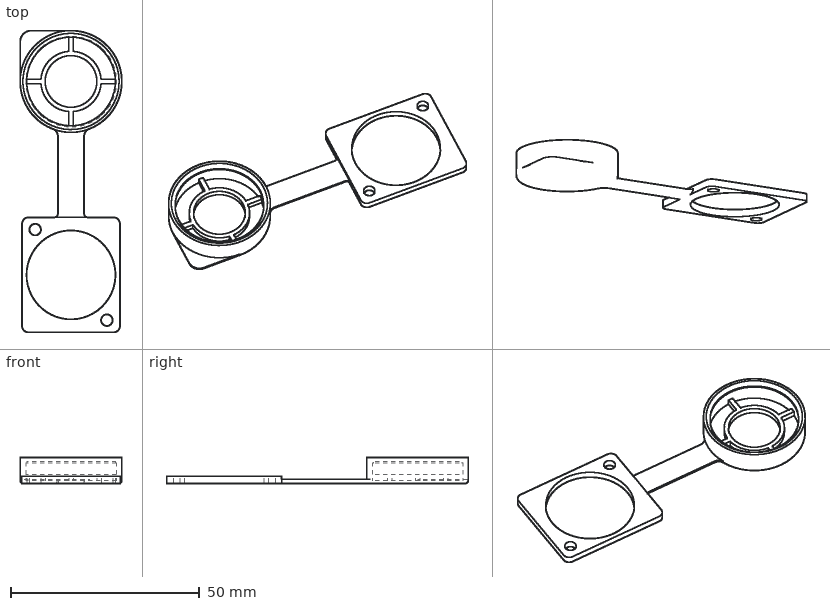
import cadquery as cq

sheet_thickness = 1.2
sheet_edge_radius = 1.0
cap_diameter = 27.0
cap_radius = cap_diameter / 2
tab_corner_radius = 3.0
strap_width = 7.0
strap_cap_fillet = 2.0
strap_frame_fillet = 1.0
strap_foot_width = strap_width + 4 * strap_frame_fillet
strap_foot_length = 2.5

cap_height = 7.0
floor_thickness = 0.9
bore_diameter = 24.0
lip_diameter = 23.5
lip_height = 0.4
mouth_depth = 1.0
mouth_diameter = lip_diameter + 2 * mouth_depth
lip_top = cap_height - mouth_depth
lip_bottom = lip_top - lip_height
rib_top = 2.5
rib_width = 1.3
ring_inner_diameter = 13.7
ring_outer_diameter = 16.0

total_length = 80.0
frame_width = 26.0
frame_length = 30.5
frame_thickness = 2.0
frame_corner_radius = 1.75
frame_opening_diameter = 23.5
screw_hole_diameter = 3.0
screw_offset_x = 9.5
screw_offset_y = 12.0
frame_bottom_y = cap_radius - total_length
frame_center_y = frame_bottom_y + frame_length / 2
frame_top_y = frame_bottom_y + frame_length


def cylinder(diameter, bottom, top):
    """Upright cylinder on the cap axis."""
    return cq.Workplane("XY").workplane(offset=bottom).circle(diameter / 2).extrude(top - bottom)


def strap_corners_near(y):
    """Selector for the two upright strap edges close to the given Y."""
    reach = 1.0
    half_width = strap_width / 2 + reach
    return cq.selectors.BoxSelector(
        (-half_width, y - reach, 0), (half_width, y + reach, sheet_thickness)
    ) & cq.selectors.ParallelDirSelector(cq.Vector(0, 0, 1))


def make_sheet():
    """Disc with a squared-off corner tab and the strap, rounded around the underside."""
    disc = cylinder(cap_diameter, 0, sheet_thickness)
    tab = (
        cq.Workplane("XY")
        .rect(-cap_radius, cap_radius, centered=False)
        .extrude(sheet_thickness)
        .edges("|Z and <X and >Y")
        .fillet(tab_corner_radius)
    )
    strap = (
        cq.Workplane("XY")
        .center(0, frame_top_y)
        .rect(strap_width, -frame_top_y, centered=(True, False))
        .extrude(sheet_thickness)
    )
    foot = (
        cq.Workplane("XY")
        .center(0, frame_top_y - strap_foot_length / 2)
        .rect(strap_foot_width, strap_foot_length)
        .extrude(sheet_thickness)
    )
    sheet = disc.union(tab).union(strap).union(foot)
    sheet = sheet.edges(strap_corners_near(-cap_radius)).fillet(strap_cap_fillet)
    sheet = sheet.edges(strap_corners_near(frame_top_y)).fillet(strap_frame_fillet)
    return sheet.faces("<Z").edges().fillet(sheet_edge_radius)


def make_frame():
    """Rectangular frame with a round opening and two diagonal screw holes."""
    return (
        cq.Workplane("XY")
        .center(0, frame_center_y)
        .rect(frame_width, frame_length)
        .extrude(frame_thickness)
        .edges("|Z")
        .fillet(frame_corner_radius)
        .faces(">Z")
        .workplane(origin=(0, frame_center_y, 0))
        .hole(frame_opening_diameter)
        .faces(">Z")
        .workplane(origin=(0, frame_center_y, 0))
        .pushPoints([(-screw_offset_x, screw_offset_y), (screw_offset_x, -screw_offset_y)])
        .hole(screw_hole_diameter)
    )


def make_cavity():
    """Bore of the cap, narrowed by a snap lip below the flared mouth."""
    bore = cylinder(bore_diameter, floor_thickness, lip_bottom)
    lip_opening = cylinder(lip_diameter, lip_bottom, lip_top)
    mouth = (
        cq.Workplane("XY")
        .workplane(offset=lip_top)
        .circle(lip_diameter / 2)
        .workplane(offset=mouth_depth)
        .circle(mouth_diameter / 2)
        .loft()
    )
    return bore.union(lip_opening).union(mouth)


def make_ribs():
    """Raised ring joined to the cap wall by four radial ribs."""
    rib_height = rib_top - floor_thickness
    plane = cq.Workplane("XY").workplane(offset=floor_thickness)
    bar_length = (bore_diameter + cap_diameter) / 2
    cross = plane.rect(bar_length, rib_width).extrude(rib_height)
    cross = cross.union(plane.rect(rib_width, bar_length).extrude(rib_height))
    ring = cylinder(ring_outer_diameter, floor_thickness, rib_top)
    return cross.union(ring).cut(cylinder(ring_inner_diameter, floor_thickness, rib_top))


cap_wall = cylinder(cap_diameter, sheet_thickness, cap_height)
cap = make_sheet().union(cap_wall).cut(make_cavity()).union(make_ribs())
result = cap.union(make_frame())